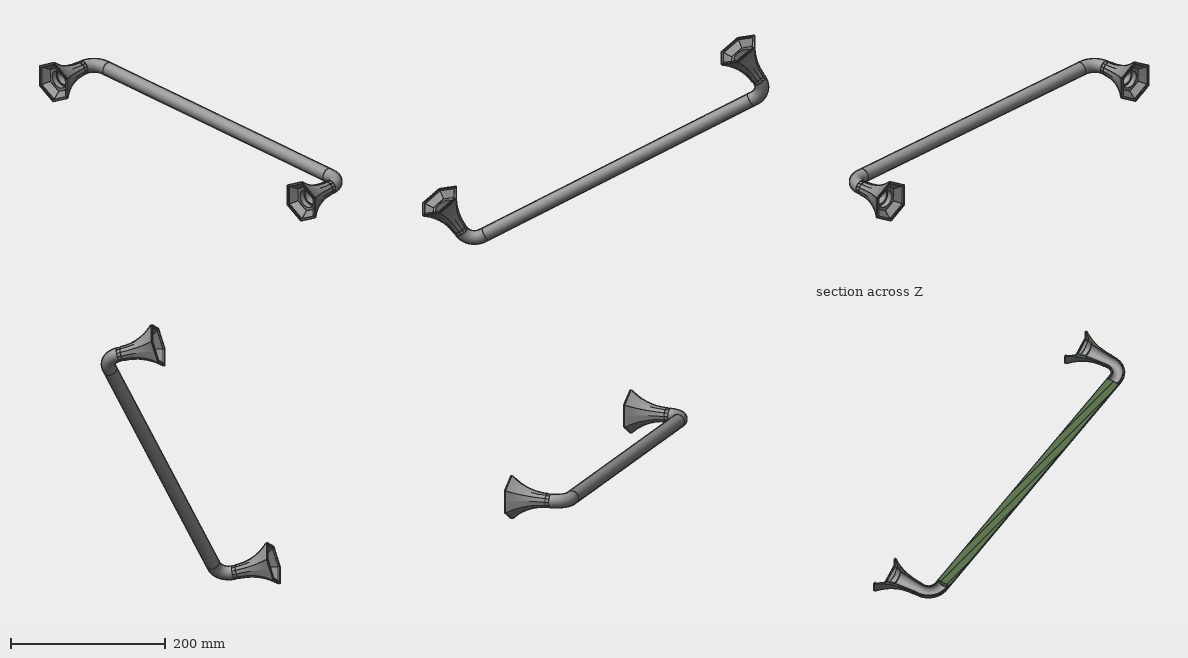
import cadquery as cq
import math

total_length = 500.0
foot_width = 50.0
standoff = 84.0
tube_radius = 9.0
bore_radius = 6.5
post_offset = (total_length - foot_width) / 2
bar_axis_y = standoff - tube_radius

land_height = 1.5
foot_thickness = 3.0
bevel_inset = 0.5
neck_radius = 9.5
neck_y = 50.0
collar_radius = 9.0

bend_radius = 20.0
collar_top_y = bar_axis_y - bend_radius
elbow_straight = 5.0
bar_start = bend_radius + elbow_straight

rim_width = 2.5
rim_depth = 2.0
recess_depth = 10.5
recess_floor_flat = 15.5
recess_floor_corner = 17.5
counterbore_radius = 12.0
counterbore_depth = 7.5
throat_radius = 10.0

SIDES = 12


def hexagon_corner(flat):
    """Corner radius of a regular hexagon with the given distance from axis to flat."""
    return flat / math.cos(math.pi / 6)


def outline_point(index, corner, flat, y):
    """Point of the twelve-point outline; even points are corners, the first one at +Z."""
    radius = flat if index % 2 else corner
    angle = index * 2 * math.pi / SIDES
    return cq.Vector(radius * math.sin(angle), y, radius * math.cos(angle))


def outline(corner, flat, y):
    points = [outline_point(i, corner, flat, y) for i in range(SIDES)]
    return cq.Wire.makePolygon(points, close=True)


def prism(corner, flat, y_start, y_end):
    return cq.Solid.makeLoft([outline(corner, flat, y_start), outline(corner, flat, y_end)], True)


def cylinder(radius, y_start, y_end):
    return cq.Solid.makeCylinder(radius, y_end - y_start, cq.Vector(0, y_start, 0), cq.Vector(0, 1, 0))


def flare(foot_corner, foot_flat):
    """Horn with twelve ruled panels, each between two arcs that leave the neck along the axis."""
    toward_wall = cq.Vector(0, -1, 0)
    ribs = []
    for i in range(SIDES):
        neck_point = outline_point(i, neck_radius, neck_radius, neck_y)
        foot_point = outline_point(i, foot_corner, foot_flat, foot_thickness)
        ribs.append(cq.Edge.makeTangentArc(neck_point, toward_wall, foot_point))
    panels = [cq.Face.makeRuledSurface(ribs[i - 1], ribs[i]) for i in range(SIDES)]
    foot_cap = cq.Face.makeFromWires(outline(foot_corner, foot_flat, foot_thickness))
    neck_cap = cq.Face.makeFromWires(outline(neck_radius, neck_radius, neck_y))
    horn = cq.Solid.makeSolid(cq.Shell.makeShell([*panels, foot_cap, neck_cap]))
    return horn.fix()


def elbow(radius):
    """Round rod that leaves the collar along +Y, bends to +X and ends at the bar."""
    path = (
        cq.Workplane("XY")
        .moveTo(0, collar_top_y)
        .radiusArc((bend_radius, bar_axis_y), bend_radius)
        .lineTo(bar_start, bar_axis_y)
    )
    return cq.Workplane("XZ", origin=(0, collar_top_y, 0)).circle(radius).sweep(path).val()


def foot_recess():
    """Tapered twelve-sided pocket, counterbore and conical throat, open at the wall side."""
    rim_flat = foot_width / 2 - rim_width
    rim_corner = hexagon_corner(rim_flat)
    mouth = prism(rim_corner, rim_flat, 0, rim_depth)
    mouth_inner = outline(rim_corner, rim_flat, rim_depth)
    floor = outline(recess_floor_corner, recess_floor_flat, recess_depth)
    pocket = cq.Solid.makeLoft([mouth_inner, floor], True)
    throat_y = recess_depth + counterbore_depth
    counterbore = cylinder(counterbore_radius, recess_depth, throat_y)
    throat = cq.Solid.makeCone(
        throat_radius, bore_radius, neck_y - throat_y, cq.Vector(0, throat_y, 0), cq.Vector(0, 1, 0)
    )
    neck_bore = cylinder(bore_radius, neck_y, collar_top_y)
    return [mouth, pocket, counterbore, throat, neck_bore]


def make_post():
    """Hollow post on the Y axis with its elbow pointing to +X."""
    foot_flat = foot_width / 2
    foot_corner = hexagon_corner(foot_flat)
    flare_flat = foot_flat - bevel_inset
    flare_corner = hexagon_corner(flare_flat)
    land = prism(foot_corner, foot_flat, 0, land_height)
    bevel_bottom = outline(foot_corner, foot_flat, land_height)
    bevel_top = outline(flare_corner, flare_flat, foot_thickness)
    bevel = cq.Solid.makeLoft([bevel_bottom, bevel_top], True)
    collar = prism(collar_radius, collar_radius, neck_y, collar_top_y)
    body = cq.Workplane(land)
    for part in (bevel, flare(flare_corner, flare_flat), collar, elbow(tube_radius)):
        body = body.union(cq.Workplane(part), clean=False)
    for void in (*foot_recess(), elbow(bore_radius)):
        body = body.cut(cq.Workplane(void), clean=False)
    return body


def make_bar():
    """Straight bar between the ends of the two elbows."""
    half_length = post_offset - bar_start
    section = cq.Workplane("YZ", origin=(-half_length, bar_axis_y, 0)).circle(tube_radius)
    return section.extrude(2 * half_length)


left_post = make_post().translate((-post_offset, 0, 0))
posts = [left_post, left_post.mirror("YZ")]
bar = make_bar()

result = cq.Compound.makeCompound([bar.val(), *[post.solids().val() for post in posts]])